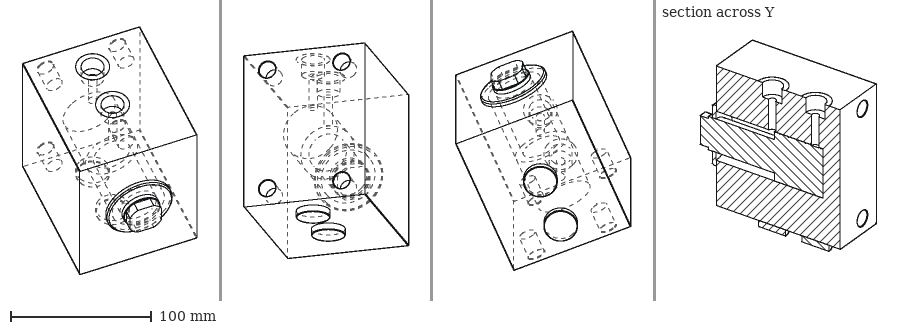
import cadquery as cq
import math

BLOCK_X = 107.5
BLOCK_Y = 90.0
BLOCK_Z = 114.9
BLOCK_CHAMFER = 0.5

BORE_DIA = 40.0
BORE_START_X = 15.0

PISTON_END_X = 57.3
ROD_DIA = 28.0
ROD_CHAMFER = 0.5
COLLAR_LENGTH = 3.5
WRENCH_LENGTH = 6.9
WRENCH_FLAT_WIDTH = 24.0

GLAND_DIA = 50.0
GLAND_THICKNESS = 3.5
GLAND_CHAMFER = 1.1

PORT_FIRST_X = 21.5
PORT_SPACING = 37.5
PORT_DIA = 16.3
PORT_DEPTH = 12.0
FEED_DIA = 6.0
SPOTFACE_DIA = 24.0
SPOTFACE_DEPTH = 0.1

PLUG_DIA = SPOTFACE_DIA
PLUG_HEIGHT = 5.0
PLUG_CHAMFER = 0.5

MOUNT_SPACING_Y = 55.0
MOUNT_SPACING_Z = 90.0
MOUNT_DIA = 12.2
MOUNT_DEPTH = 17.0
MOUNT_MOUTH_CHAMFER = 0.5
DRILL_POINT_ANGLE = 118.0

TOP_Z = BLOCK_Z / 2
BOTTOM_Z = -BLOCK_Z / 2
PORT_XS = [PORT_FIRST_X, PORT_FIRST_X + PORT_SPACING]
COLLAR_END_X = BLOCK_X + GLAND_THICKNESS + COLLAR_LENGTH
ROD_END_X = COLLAR_END_X + WRENCH_LENGTH


def cylinder_along_x(start_x, end_x, diameter):
    """Cylinder on the X axis."""
    return cq.Workplane("YZ", origin=(start_x, 0, 0)).circle(diameter / 2).extrude(end_x - start_x)


def upright_cylinder(x, top_z, bottom_z, diameter):
    """Vertical cylinder at Y = 0."""
    return cq.Workplane("XY", origin=(x, 0, bottom_z)).circle(diameter / 2).extrude(top_z - bottom_z)


def port_cutter(x):
    """Spotfaced port whose small feed hole runs down into the bore."""
    spotface = upright_cylinder(x, TOP_Z, TOP_Z - SPOTFACE_DEPTH, SPOTFACE_DIA)
    port = upright_cylinder(x, TOP_Z, TOP_Z - PORT_DEPTH, PORT_DIA)
    feed = upright_cylinder(x, TOP_Z, 0, FEED_DIA)
    return spotface.union(port).union(feed)


def mount_cutter(y, z):
    """Blind drilled hole with a chamfered mouth and a conical end."""
    radius = MOUNT_DIA / 2
    point_length = radius / math.tan(math.radians(DRILL_POINT_ANGLE / 2))
    profile = [
        (0, 0),
        (0, radius + MOUNT_MOUTH_CHAMFER),
        (MOUNT_MOUTH_CHAMFER, radius),
        (MOUNT_DEPTH, radius),
        (MOUNT_DEPTH + point_length, 0),
    ]
    cutter = cq.Workplane("XY").polyline(profile).close().revolve(360, (0, 0, 0), (1, 0, 0))
    return cutter.translate((0, y, z))


def make_block():
    block = cq.Workplane("XY").box(BLOCK_X, BLOCK_Y, BLOCK_Z).translate((BLOCK_X / 2, 0, 0))
    block = block.edges("|X").chamfer(BLOCK_CHAMFER)
    block = block.cut(cylinder_along_x(BORE_START_X, BLOCK_X, BORE_DIA))
    for x in PORT_XS:
        block = block.cut(port_cutter(x))
    for y in (-MOUNT_SPACING_Y / 2, MOUNT_SPACING_Y / 2):
        for z in (-MOUNT_SPACING_Z / 2, MOUNT_SPACING_Z / 2):
            block = block.cut(mount_cutter(y, z))
    return block


def make_piston_rod():
    """Piston, rod with a chamfered collar end, and a tip with four wrench flats."""
    piston = cylinder_along_x(BORE_START_X, PISTON_END_X, BORE_DIA)
    rod = cylinder_along_x(PISTON_END_X, COLLAR_END_X, ROD_DIA).faces(">X").chamfer(ROD_CHAMFER)
    tip = cylinder_along_x(COLLAR_END_X, ROD_END_X, ROD_DIA - 2 * ROD_CHAMFER)
    flats = (
        cq.Workplane("YZ", origin=(COLLAR_END_X, 0, 0))
        .rect(WRENCH_FLAT_WIDTH, WRENCH_FLAT_WIDTH)
        .extrude(WRENCH_LENGTH)
    )
    return piston.union(rod).union(tip.intersect(flats))


def make_gland():
    """Ring around the rod that closes the bore."""
    gland_end_x = BLOCK_X + GLAND_THICKNESS
    gland = cylinder_along_x(BLOCK_X, gland_end_x, GLAND_DIA).faces(">X").chamfer(GLAND_CHAMFER)
    return gland.cut(cylinder_along_x(BLOCK_X, gland_end_x, ROD_DIA))


def make_plug(x):
    """Round plug seated on the bottom face."""
    plug = upright_cylinder(x, BOTTOM_Z, BOTTOM_Z - PLUG_HEIGHT, PLUG_DIA)
    return plug.faces("<Z").chamfer(PLUG_CHAMFER)


block = make_block()
piston_rod = make_piston_rod()
gland = make_gland()
plugs = [make_plug(x) for x in PORT_XS]

result = cq.Compound.makeCompound(
    [block.val(), piston_rod.val(), gland.val(), *[plug.val() for plug in plugs]]
)